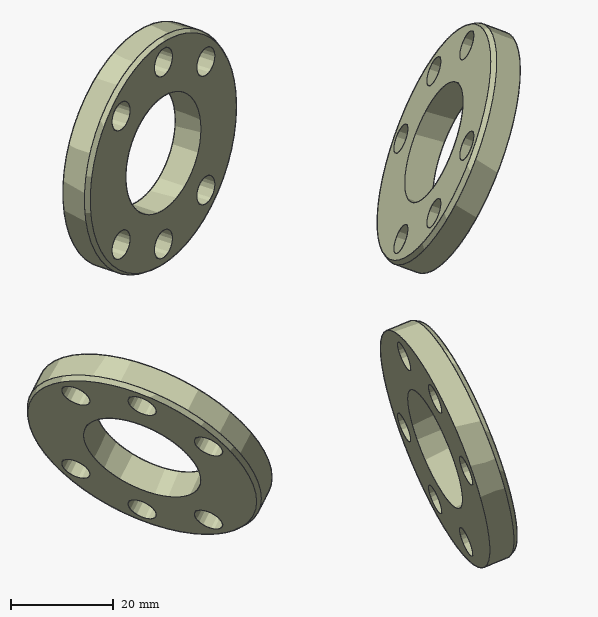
import cadquery as cq
import math

outer_diameter = 50.0
bore_diameter = 25.0
thickness = 6.2

bevel_length = 1.0
bevel_angle = 30.0
bevel_depth = bevel_length * math.tan(math.radians(bevel_angle))

bolt_hole_diameter = 6.0
bolt_circle_radius = 20.0
bolt_angles = [45, 90, 135, 225, 270, 315]


def make_ring():
    """Bored disc with a bevelled rim on its +X side."""
    bore_radius = bore_diameter / 2
    outer_radius = outer_diameter / 2
    profile = (
        cq.Workplane("XY")
        .moveTo(0, bore_radius)
        .lineTo(0, outer_radius)
        .lineTo(thickness - bevel_length, outer_radius)
        .lineTo(thickness, outer_radius - bevel_depth)
        .lineTo(thickness, bore_radius)
        .close()
    )
    return profile.revolve(360, (0, 0, 0), (1, 0, 0))


def make_bolt_holes():
    """Cylinders that pass through the full thickness of the ring."""
    centres = [
        (
            bolt_circle_radius * math.cos(math.radians(angle)),
            bolt_circle_radius * math.sin(math.radians(angle)),
        )
        for angle in bolt_angles
    ]
    return (
        cq.Workplane("YZ")
        .pushPoints(centres)
        .circle(bolt_hole_diameter / 2)
        .extrude(thickness)
    )


result = make_ring().cut(make_bolt_holes())